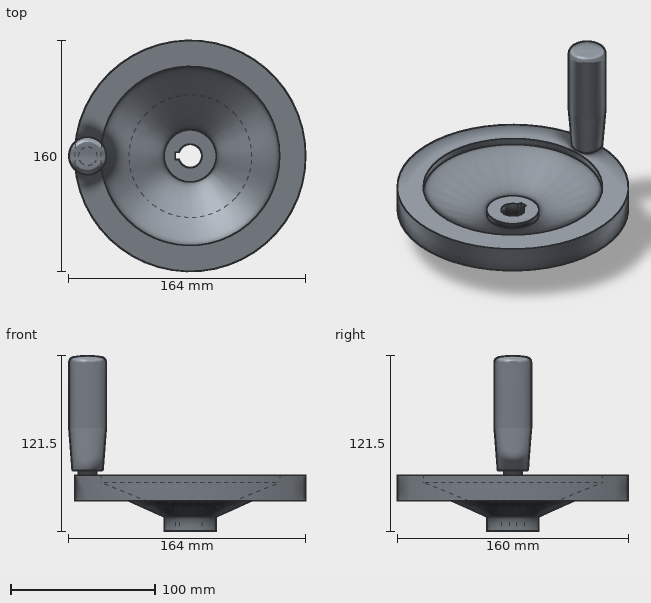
import cadquery as cq

hub_skirt_height = 10.0
rim_bottom = 21.0
rim_height = 17.9
rim_top = rim_bottom + rim_height
hub_top = 20.0
inner_wall_depth = 5.0
hub_step = 4.0
overall_height = 121.5

wheel_radius = 80.0
recess_radius = 62.0
web_outer_radius = 42.5
hub_radius = 18.0
bore_radius = 8.0
keyway_width = 5.0
keyway_reach = 10.2

handle_offset = 71.0
handle_radius = 13.0
grip_foot_radius = 10.7
foot_round = 1.0
neck_radius = 6.4
neck_height = 3.1
taper_height = 29.5
shoulder_round = 4.0
dome_height = 1.6


def make_wheel():
    """Revolve the dished wheel, then cut the keyed bore."""
    profile = [
        (0, 0),
        (hub_radius, 0),
        (hub_radius, hub_skirt_height),
        (web_outer_radius, rim_bottom),
        (wheel_radius, rim_bottom),
        (wheel_radius, rim_top),
        (recess_radius, rim_top),
        (recess_radius, rim_top - inner_wall_depth),
        (hub_radius, hub_top - hub_step),
        (hub_radius, hub_top),
        (0, hub_top),
    ]
    wheel = cq.Workplane("XZ").polyline(profile).close().revolve(360, (0, 0), (0, 1))
    bore = cq.Workplane("XY").circle(bore_radius).extrude(hub_top)
    keyway = cq.Workplane("XY").box(keyway_reach, keyway_width, hub_top, centered=(False, True, False))
    return wheel.cut(bore).cut(keyway.translate((-keyway_reach, 0, 0)))


def make_handle():
    """Stack the neck and the tapered, domed grip on the handle axis."""
    grip_bottom = rim_top + neck_height
    taper_top = grip_bottom + taper_height
    dome_base = overall_height - dome_height
    dome_middle = (handle_radius / 2, overall_height - dome_height / 4)
    grip = (
        cq.Workplane("XZ")
        .moveTo(0, grip_bottom)
        .lineTo(grip_foot_radius, grip_bottom)
        .lineTo(handle_radius, taper_top)
        .lineTo(handle_radius, dome_base)
        .threePointArc(dome_middle, (0, overall_height))
        .close()
        .revolve(360, (0, 0), (0, 1))
    )
    grip = grip.edges(">>Z[-2]").fillet(shoulder_round)
    grip = grip.faces("<Z").edges().fillet(foot_round)
    neck = cq.Workplane("XY").workplane(offset=rim_top).circle(neck_radius).extrude(neck_height)
    return neck.union(grip).translate((-handle_offset, 0, 0))


result = make_wheel().union(make_handle())